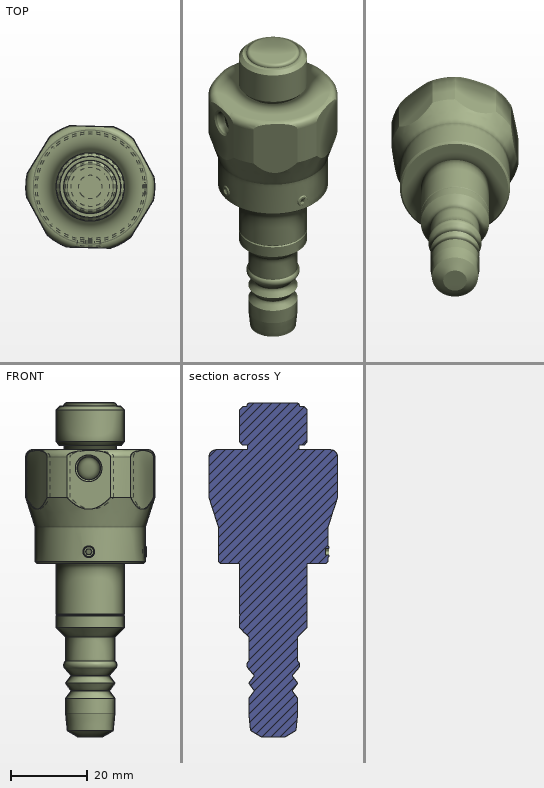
import cadquery as cq
import math

TOTAL_HEIGHT = 88.0

BUTTON_TOP_Z = TOTAL_HEIGHT
BUTTON_RADIUS = 7.0
BUTTON_FILLET = 0.9

SLEEVE_TOP_Z = BUTTON_TOP_Z - BUTTON_FILLET
SLEEVE_BOTTOM_Z = 76.8
SLEEVE_RADIUS = 9.0
SLEEVE_TOP_CHAMFER = 1.0
SLEEVE_BOTTOM_CHAMFER_HEIGHT = 1.0
SLEEVE_BOTTOM_CHAMFER_WIDTH = 0.8
NECK_RADIUS = 6.9

BODY_TOP_Z = 75.7
BODY_HEIGHT = 30.0
BODY_BOTTOM_Z = BODY_TOP_Z - BODY_HEIGHT
BODY_RADIUS = 17.0
BODY_FILLET = 2.0
BODY_STRAIGHT_HEIGHT = 12.6
BODY_ACROSS_FLATS = 32.0
BODY_TURN = -1.55
COLLAR_RADIUS = 14.5
COLLAR_HEIGHT = 9.6
COLLAR_CHAMFER = 0.5

SIDE_HOLE_DIAMETER = 6.05
SIDE_HOLE_MOUTH_DIAMETER = 7.0
SIDE_HOLE_Z = BODY_TOP_Z - 4.95
SIDE_HOLE_FLOOR_RADIUS = 13.5

SCREW_DIAMETER = 3.0
SCREW_END_RADIUS = 14.75
SCREW_END_CHAMFER = 0.2
SCREW_Z = BODY_BOTTOM_Z + 3.1
SCREW_ROOT_RADIUS = 12.0
SCREW_HOLE_DIAMETER = 3.05
SCREW_RECESS_DEPTH = 0.25
SOCKET_ACROSS_FLATS = 1.5
SOCKET_DEPTH = 1.0
SCREW_ANGLES = (0, -90)

SHAFT_RADIUS = 9.0
SHAFT_GROOVE_Z = 32.15
SHAFT_GROOVE_RADIUS = 8.76
SHAFT_END_Z = 28.85

STEM_RADIUS = 6.5
BULGE_RADIUS = 7.0
BULGE_BOTTOM_RADIUS = 6.75
BULGE_TOP_Z = 20.0
BULGE_BOTTOM_Z = 18.2
WAIST_RADIUS = 5.1
WAIST_WIDTH = 0.2
UPPER_WAIST_Z = 16.2
RIDGE_PITCH = 4.0
NOSE_TAPER_Z = 6.3
NOSE_TIP_RADIUS = 6.05
NOSE_TIP_Z = 1.75
NOSE_FLAT_RADIUS = 3.1


def revolved(outline):
    """Solid of revolution about Z from an XZ half outline that starts and ends on the axis."""
    return outline.close().revolve(360, (0, 0, 0), (0, 1, 0))


def button_and_sleeve():
    arc_inset = BUTTON_FILLET * (1 - math.sqrt(0.5))
    outline = (
        cq.Workplane("XZ")
        .moveTo(0, BUTTON_TOP_Z)
        .lineTo(BUTTON_RADIUS - BUTTON_FILLET, BUTTON_TOP_Z)
        .threePointArc(
            (BUTTON_RADIUS - arc_inset, BUTTON_TOP_Z - arc_inset),
            (BUTTON_RADIUS, SLEEVE_TOP_Z),
        )
        .lineTo(SLEEVE_RADIUS - SLEEVE_TOP_CHAMFER, SLEEVE_TOP_Z)
        .lineTo(SLEEVE_RADIUS, SLEEVE_TOP_Z - SLEEVE_TOP_CHAMFER)
        .lineTo(SLEEVE_RADIUS, SLEEVE_BOTTOM_Z + SLEEVE_BOTTOM_CHAMFER_HEIGHT)
        .lineTo(SLEEVE_RADIUS - SLEEVE_BOTTOM_CHAMFER_WIDTH, SLEEVE_BOTTOM_Z)
        .lineTo(NECK_RADIUS, SLEEVE_BOTTOM_Z)
        .lineTo(NECK_RADIUS, BODY_BOTTOM_Z)
        .lineTo(0, BODY_BOTTOM_Z)
    )
    return revolved(outline)


def hexagon_prism(across_flats, height):
    """Hexagon standing on the XY plane, with flats facing +Y and -Y."""
    return cq.Workplane("XY").polygon(6, across_flats / math.cos(math.pi / 6)).extrude(height)


def hexagonal_body():
    arc_inset = BODY_FILLET * (1 - math.sqrt(0.5))
    outline = (
        cq.Workplane("XZ")
        .moveTo(0, BODY_TOP_Z)
        .lineTo(BODY_RADIUS - BODY_FILLET, BODY_TOP_Z)
        .threePointArc(
            (BODY_RADIUS - arc_inset, BODY_TOP_Z - arc_inset),
            (BODY_RADIUS, BODY_TOP_Z - BODY_FILLET),
        )
        .lineTo(BODY_RADIUS, BODY_TOP_Z - BODY_STRAIGHT_HEIGHT)
        .lineTo(COLLAR_RADIUS, BODY_BOTTOM_Z + COLLAR_HEIGHT)
        .lineTo(COLLAR_RADIUS, BODY_BOTTOM_Z + COLLAR_CHAMFER)
        .lineTo(COLLAR_RADIUS - COLLAR_CHAMFER, BODY_BOTTOM_Z)
        .lineTo(0, BODY_BOTTOM_Z)
    )
    prism = hexagon_prism(BODY_ACROSS_FLATS, BODY_HEIGHT).translate((0, 0, BODY_BOTTOM_Z))
    return revolved(outline).intersect(prism)


def side_hole():
    """Cutter for the chamfered hole, whose floor is the round core inside the body."""
    flat_distance = BODY_ACROSS_FLATS / 2
    hole_radius = SIDE_HOLE_DIAMETER / 2
    mouth_radius = SIDE_HOLE_MOUTH_DIAMETER / 2
    bore = (
        cq.Workplane("XZ", origin=(0, 0, SIDE_HOLE_Z))
        .circle(hole_radius)
        .extrude(flat_distance)
    )
    mouth = cq.Workplane(
        cq.Solid.makeCone(
            mouth_radius,
            hole_radius,
            mouth_radius - hole_radius,
            pnt=cq.Vector(0, -flat_distance, SIDE_HOLE_Z),
            dir=cq.Vector(0, 1, 0),
        )
    )
    core = (
        cq.Workplane("XY", origin=(0, 0, BODY_BOTTOM_Z))
        .circle(SIDE_HOLE_FLOOR_RADIUS)
        .extrude(BODY_HEIGHT)
    )
    return bore.union(mouth).cut(core)


def along_x(shape, angle):
    """Lay a shape standing along Z onto +X at the screw height, then turn it about Z."""
    laid = shape.rotate((0, 0, 0), (0, 1, 0), 90).translate((0, 0, SCREW_Z))
    return laid.rotate((0, 0, 0), (0, 0, 1), angle)


def add_screw(body, angle):
    """Set screw in its hole, leaving a thin ring gap around it and a hexagon socket in its end."""
    recess_floor_radius = COLLAR_RADIUS - SCREW_RECESS_DEPTH
    recess = (
        cq.Workplane("XY", origin=(0, 0, recess_floor_radius))
        .circle(SCREW_HOLE_DIAMETER / 2)
        .extrude(SCREW_END_RADIUS - recess_floor_radius)
    )
    screw = (
        cq.Workplane("XY", origin=(0, 0, SCREW_ROOT_RADIUS))
        .circle(SCREW_DIAMETER / 2)
        .extrude(SCREW_END_RADIUS - SCREW_ROOT_RADIUS)
        .faces(">Z")
        .chamfer(SCREW_END_CHAMFER)
    )
    socket = (
        hexagon_prism(SOCKET_ACROSS_FLATS, SOCKET_DEPTH)
        .rotate((0, 0, 0), (0, 0, 1), 90)
        .translate((0, 0, SCREW_END_RADIUS - SOCKET_DEPTH))
    )
    drilled = body.cut(along_x(recess, angle))
    return drilled.union(along_x(screw, angle)).cut(along_x(socket, angle))


def shaft_and_plug():
    groove_depth = SHAFT_RADIUS - SHAFT_GROOVE_RADIUS
    shaft_chamfer = SHAFT_RADIUS - STEM_RADIUS
    waist_half = WAIST_WIDTH / 2
    ridge_half = RIDGE_PITCH / 2
    lower_waist_z = UPPER_WAIST_Z - RIDGE_PITCH
    outline = (
        cq.Workplane("XZ")
        .moveTo(0, BODY_BOTTOM_Z)
        .lineTo(SHAFT_RADIUS, BODY_BOTTOM_Z)
        .lineTo(SHAFT_RADIUS, SHAFT_GROOVE_Z + groove_depth)
        .lineTo(SHAFT_GROOVE_RADIUS, SHAFT_GROOVE_Z)
        .lineTo(SHAFT_RADIUS, SHAFT_GROOVE_Z - groove_depth)
        .lineTo(SHAFT_RADIUS, SHAFT_END_Z)
        .lineTo(STEM_RADIUS, SHAFT_END_Z - shaft_chamfer)
        .lineTo(STEM_RADIUS, BULGE_TOP_Z)
        .threePointArc(
            (BULGE_RADIUS, (BULGE_TOP_Z + BULGE_BOTTOM_Z) / 2),
            (BULGE_BOTTOM_RADIUS, BULGE_BOTTOM_Z),
        )
        .lineTo(WAIST_RADIUS, UPPER_WAIST_Z + waist_half)
        .lineTo(WAIST_RADIUS, UPPER_WAIST_Z - waist_half)
        .lineTo(STEM_RADIUS, UPPER_WAIST_Z - ridge_half)
        .lineTo(WAIST_RADIUS, lower_waist_z + waist_half)
        .lineTo(WAIST_RADIUS, lower_waist_z - waist_half)
        .lineTo(STEM_RADIUS, lower_waist_z - ridge_half)
        .lineTo(STEM_RADIUS, NOSE_TAPER_Z)
        .lineTo(NOSE_TIP_RADIUS, NOSE_TIP_Z)
        .lineTo(NOSE_FLAT_RADIUS, 0)
        .lineTo(0, 0)
    )
    return revolved(outline)


body = hexagonal_body().cut(side_hole())
for screw_angle in SCREW_ANGLES:
    body = add_screw(body, screw_angle)
body = body.rotate((0, 0, 0), (0, 0, 1), BODY_TURN)

result = body.union(button_and_sleeve()).union(shaft_and_plug())